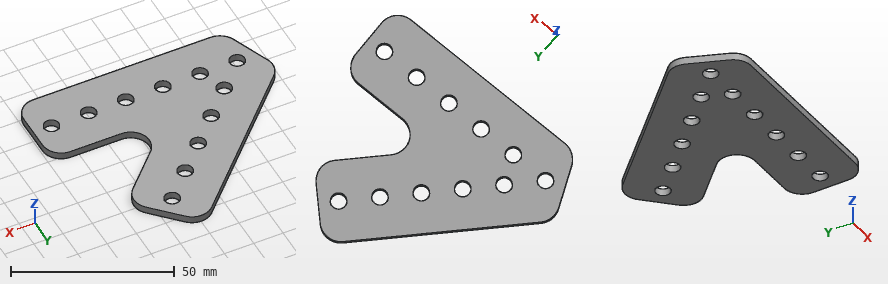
import cadquery as cq
import math

overall_length = 78.6
thickness = 2.5
hole_span = 63.4
holes_per_arm = 6
hole_diameter = 5.0
corner_radius = 6.4
arm_angle = 45.0

hole_pitch = hole_span / (holes_per_arm - 1)
half_width = hole_pitch
half_angle = math.radians(arm_angle / 2)
cos_half = math.cos(half_angle)
tan_half = math.tan(half_angle)

heel_slope = math.cos(2 * half_angle) / cos_half
rounded_heel_reach = corner_radius + (half_width - corner_radius) * tan_half - corner_radius * heel_slope
edge_margin = (overall_length - hole_span - rounded_heel_reach) / (1 + heel_slope)
arm_end = hole_span + edge_margin


def mirror_to_second_arm(point):
    """Reflect a point across the line midway between the two arms."""
    x, y = point
    cos_arm = math.cos(2 * half_angle)
    sin_arm = math.sin(2 * half_angle)
    return (x * cos_arm + y * sin_arm, x * sin_arm - y * cos_arm)


def make_plate():
    heel_corner = (half_width * tan_half - edge_margin / cos_half, -half_width)
    inner_corner = (half_width / tan_half, half_width)
    first_arm = [heel_corner, (arm_end, -half_width), (arm_end, half_width)]
    second_arm = [mirror_to_second_arm(point) for point in reversed(first_arm)]
    outline = first_arm + [inner_corner] + second_arm
    plate = cq.Workplane("XY").polyline(outline).close().extrude(thickness)
    return plate.edges("|Z").fillet(corner_radius)


def make_holes():
    first_row = [(i * hole_pitch, 0) for i in range(holes_per_arm)]
    second_row = [mirror_to_second_arm(point) for point in first_row[1:]]
    return (
        cq.Workplane("XY")
        .pushPoints(first_row + second_row)
        .circle(hole_diameter / 2)
        .extrude(thickness)
    )


result = make_plate().cut(make_holes())